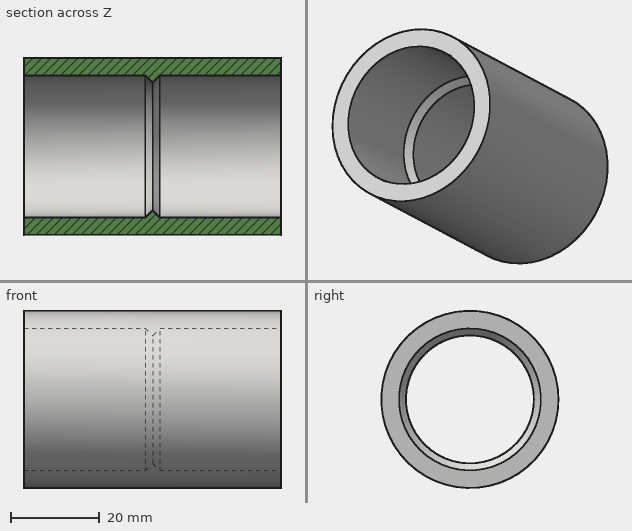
import cadquery as cq

length = 58.0
outer_diameter = 40.0
bore_diameter = 32.0
stop_diameter = 28.8

outer_radius = outer_diameter / 2
bore_radius = bore_diameter / 2
stop_radius = stop_diameter / 2
half_length = length / 2

stop_half_width = bore_radius - stop_radius


def coupling_sleeve():
    """Sleeve along X, centred on the origin, with a V-shaped stop ridge midway along its bore."""
    wall_section = [
        (-half_length, bore_radius),
        (-half_length, outer_radius),
        (half_length, outer_radius),
        (half_length, bore_radius),
        (stop_half_width, bore_radius),
        (0, stop_radius),
        (-stop_half_width, bore_radius),
    ]
    axis_start = (0, 0, 0)
    axis_end = (1, 0, 0)
    return cq.Workplane("XY").polyline(wall_section).close().revolve(360, axis_start, axis_end)


result = coupling_sleeve()